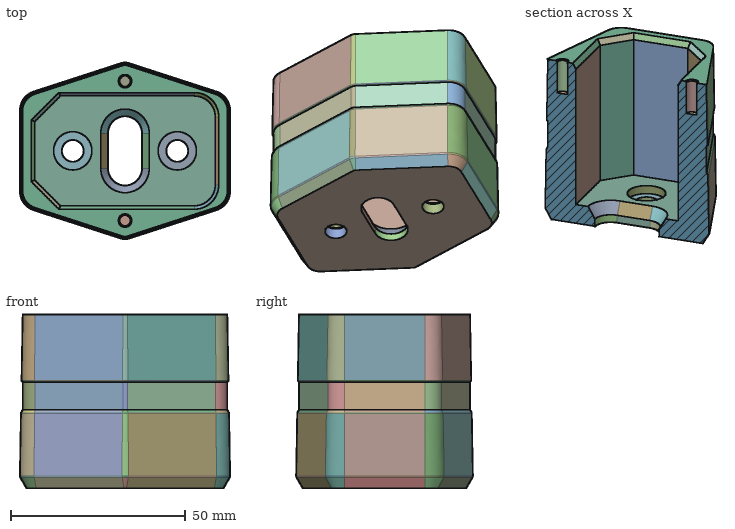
import cadquery as cq
import math

HEIGHT = 50.0
BASE_HALF_X = 28.25
FLANK_ANGLE = 18.0
SIDE_HALF_LENGTH = 11.49
BASE_CORNER_RADIUS = 3.9
BASE_APEX_RADIUS = 1.0

BEVEL_HEIGHT = 3.4
BEVEL_ANGLE = 30.0
DRAFT_ANGLE = 1.0
BEVEL_ROUND = 1.0

GROOVE_BOTTOM = 22.6
GROOVE_TOP = 30.55
GROOVE_HALF_X = 29.37
GROOVE_LOWER_ANGLE = 30.0
GROOVE_UPPER_ANGLE = 45.0
GROOVE_LOWER_ROUND = 0.5
GROOVE_UPPER_ROUND = 0.4

FLOOR = 6.0
CAVITY_X = 51.8
CAVITY_Y = 31.5
CAVITY_RADIUS = 6.0
CAVITY_CORNER_CUT = 7.35
CAVITY_CHAMFER = 1.0
CHAMFER_ANGLE = 30.0

SLOT_CENTRES = 10.1
SLOT_WIDTH = 9.7
SLOT_CHAMFER = 2.1
BOLT_SPACING = 30.0
BOLT_HOLE_D = 6.2
BOLT_HEAD_D = 11.0
BOLT_HEAD_DEPTH = 2.5

SCREW_SPACING = 40.0
SCREW_HOLE_D = 3.1
SCREW_HOLE_DEPTH = 10.0
SCREW_CHAMFER = 0.35
SCREW_CHAMFER_ANGLE = 90.0


def tan(degrees):
    return math.tan(math.radians(degrees))


def hexagon(half_x, z):
    """Body outline at level z, offset from the bottom outline to the given half width."""
    offset = half_x - BASE_HALF_X
    corner_r = BASE_CORNER_RADIUS + offset
    apex_r = BASE_APEX_RADIUS + offset
    sin_a = math.sin(math.radians(FLANK_ANGLE))
    cos_a = math.cos(math.radians(FLANK_ANGLE))
    bisector = math.radians((90 - FLANK_ANGLE) / 2)

    corner_x = BASE_HALF_X - BASE_CORNER_RADIUS
    corner_y = SIDE_HALF_LENGTH
    radius_step = (BASE_CORNER_RADIUS - BASE_APEX_RADIUS) / cos_a
    apex_y = corner_y + corner_x * tan(FLANK_ANGLE) + radius_step

    mid_x = corner_x + corner_r * math.cos(bisector)
    mid_y = corner_y + corner_r * math.sin(bisector)
    flank_x = corner_x + corner_r * sin_a
    flank_y = corner_y + corner_r * cos_a
    tip_x = apex_r * sin_a
    tip_y = apex_y + apex_r * cos_a
    apex_top = apex_y + apex_r
    return (
        cq.Workplane("XY", origin=(0, 0, z))
        .moveTo(half_x, -corner_y)
        .lineTo(half_x, corner_y)
        .threePointArc((mid_x, mid_y), (flank_x, flank_y))
        .lineTo(tip_x, tip_y)
        .threePointArc((0, apex_top), (-tip_x, tip_y))
        .lineTo(-flank_x, flank_y)
        .threePointArc((-mid_x, mid_y), (-half_x, corner_y))
        .lineTo(-half_x, -corner_y)
        .threePointArc((-mid_x, -mid_y), (-flank_x, -flank_y))
        .lineTo(-tip_x, -tip_y)
        .threePointArc((0, -apex_top), (tip_x, -tip_y))
        .lineTo(flank_x, -flank_y)
        .threePointArc((mid_x, -mid_y), (half_x, -corner_y))
        .close()
    )


def frustum(z0, half_x0, z1, half_x1):
    """Solid between two body outlines whose walls slope evenly from z0 to z1."""
    slope = math.degrees(math.atan2(half_x0 - half_x1, z1 - z0))
    return hexagon(half_x0, z0).extrude(z1 - z0, taper=slope)


def wall_half_x(z):
    """Half width of the drafted wall at level z, above the bevel."""
    bevel_half_x = BASE_HALF_X + BEVEL_HEIGHT * tan(BEVEL_ANGLE)
    return bevel_half_x - (z - BEVEL_HEIGHT) * tan(DRAFT_ANGLE)


def groove_shoulder(z_floor, flank_angle, direction):
    """Level where a groove flank meets the drafted wall; direction is 1 for up, -1 for down."""
    gap = wall_half_x(z_floor) - GROOVE_HALF_X
    return z_floor + direction * gap / (tan(flank_angle) + direction * tan(DRAFT_ANGLE))


def make_body():
    """Stack of sloping bands: bevel, lower wall, groove and upper wall."""
    lower_shoulder = groove_shoulder(GROOVE_BOTTOM, GROOVE_LOWER_ANGLE, -1)
    upper_shoulder = groove_shoulder(GROOVE_TOP, GROOVE_UPPER_ANGLE, 1)
    stations = [
        (0, BASE_HALF_X),
        (BEVEL_HEIGHT, wall_half_x(BEVEL_HEIGHT)),
        (lower_shoulder, wall_half_x(lower_shoulder)),
        (GROOVE_BOTTOM, GROOVE_HALF_X),
        (GROOVE_TOP, GROOVE_HALF_X),
        (upper_shoulder, wall_half_x(upper_shoulder)),
        (HEIGHT, wall_half_x(HEIGHT)),
    ]
    body = frustum(*stations[0], *stations[1])
    for lower, upper in zip(stations[1:], stations[2:]):
        body = body.union(frustum(*lower, *upper))

    rounds = [
        (BEVEL_HEIGHT, BEVEL_ROUND),
        (lower_shoulder, GROOVE_LOWER_ROUND),
        (upper_shoulder, GROOVE_UPPER_ROUND),
    ]
    for level, radius in rounds:
        body = body.edges(edges_at(level)).fillet(radius)
    return body


def edges_at(z):
    """Selector for the edges lying in the plane at level z."""
    reach = 100.0
    tolerance = 0.01
    return cq.selectors.BoxSelector(
        (-reach, -reach, z - tolerance), (reach, reach, z + tolerance)
    )


def cavity_outline(z, margin):
    """Outline of the cavity at level z, widened by a margin on all sides."""
    right = CAVITY_X / 2 + margin
    top = CAVITY_Y / 2 + margin
    radius = CAVITY_RADIUS + margin
    cut = CAVITY_CORNER_CUT + margin * (2 - math.sqrt(2))
    arc_x = right - radius
    arc_y = top - radius
    arc_mid = radius * math.sqrt(0.5)
    return (
        cq.Workplane("XY", origin=(0, 0, z))
        .moveTo(-right + cut, -top)
        .lineTo(arc_x, -top)
        .threePointArc((arc_x + arc_mid, -arc_y - arc_mid), (right, -arc_y))
        .lineTo(right, arc_y)
        .threePointArc((arc_x + arc_mid, arc_y + arc_mid), (arc_x, top))
        .lineTo(-right + cut, top)
        .lineTo(-right, top - cut)
        .lineTo(-right, -top + cut)
        .close()
    )


def make_cavity():
    """Pocket with rounded +X corners, cut -X corners and a chamfered mouth."""
    depth = CAVITY_CHAMFER / tan(CHAMFER_ANGLE)
    pocket = cavity_outline(FLOOR, 0).extrude(HEIGHT - FLOOR)
    mouth = cavity_outline(HEIGHT, CAVITY_CHAMFER).extrude(-depth, taper=CHAMFER_ANGLE)
    return pocket.union(mouth)


def make_slot():
    """Through slot along Y with a chamfered upper edge."""
    depth = SLOT_CHAMFER / tan(CHAMFER_ANGLE)
    length = SLOT_CENTRES + SLOT_WIDTH
    plain = cq.Workplane("XY").slot2D(length, SLOT_WIDTH, 90).extrude(FLOOR)
    flare = (
        cq.Workplane("XY", origin=(0, 0, FLOOR))
        .slot2D(length + 2 * SLOT_CHAMFER, SLOT_WIDTH + 2 * SLOT_CHAMFER, 90)
        .extrude(-depth, taper=CHAMFER_ANGLE)
    )
    return plain.union(flare)


def bolt_holes(body):
    """Two counterbored through holes in the cavity floor, on the X axis."""
    return (
        body.copyWorkplane(cq.Workplane("XY", origin=(0, 0, FLOOR)))
        .rarray(BOLT_SPACING, 1, 2, 1)
        .cboreHole(BOLT_HOLE_D, BOLT_HEAD_D, BOLT_HEAD_DEPTH)
    )


def screw_holes(body):
    """Two blind holes in the rim, on the Y axis, with chamfered mouths."""
    mouth_d = SCREW_HOLE_D + 2 * SCREW_CHAMFER
    return (
        body.copyWorkplane(cq.Workplane("XY", origin=(0, 0, HEIGHT)))
        .rarray(1, SCREW_SPACING, 1, 2)
        .cskHole(SCREW_HOLE_D, mouth_d, SCREW_CHAMFER_ANGLE, SCREW_HOLE_DEPTH)
    )


result = make_body().cut(make_cavity()).cut(make_slot())
result = bolt_holes(result)
result = screw_holes(result)